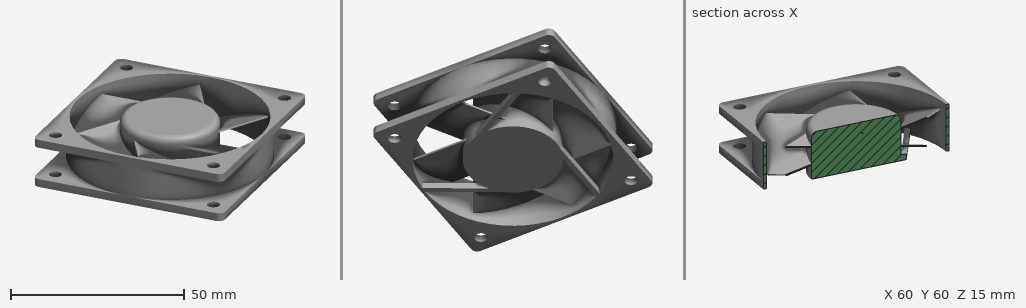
import cadquery as cq
import math

frame_side = 60.0
frame_height = 15.0
flange_thickness = 2.5
corner_radius = 2.0
duct_outer_radius = frame_side / 2
duct_inner_radius = 29.0
mount_hole_diameter = 3.8
mount_hole_pitch = 50.0

hub_radius = 14.5
hub_edge_radius = 2.0

blade_count = 6
blade_tilt = 21.4
blade_thickness = 0.5
blade_plan_width = 23.0
blade_mid_height = frame_height / 2

strut_count = 3
strut_width = 1.6
strut_height = 2.0
strut_offset = 13.4
strut_direction = 30.0

wall_middle_radius = (duct_inner_radius + duct_outer_radius) / 2


def cylinder(radius, height):
    return cq.Workplane("XY").circle(radius).extrude(height)


def make_flange(bottom_height):
    return (
        cq.Workplane("XY")
        .workplane(offset=bottom_height)
        .rect(frame_side, frame_side)
        .extrude(flange_thickness)
        .edges("|Z")
        .fillet(corner_radius)
    )


def make_frame():
    frame = cylinder(duct_outer_radius, frame_height)
    for bottom_height in (0, frame_height - flange_thickness):
        frame = frame.union(make_flange(bottom_height))
    mount_holes = (
        cq.Workplane("XY")
        .rect(mount_hole_pitch, mount_hole_pitch, forConstruction=True)
        .vertices()
        .circle(mount_hole_diameter / 2)
        .extrude(frame_height)
    )
    return frame.cut(cylinder(duct_inner_radius, frame_height)).cut(mount_holes)


def make_hub():
    return cylinder(hub_radius, frame_height).faces(">Z").edges().fillet(hub_edge_radius)


def make_blade():
    """Blade along +X whose -Y edge is the high one."""
    tilt = math.radians(blade_tilt)
    blade_width = (blade_plan_width - blade_thickness * math.sin(tilt)) / math.cos(tilt)
    return (
        cq.Workplane("XY")
        .box(duct_outer_radius, blade_width, blade_thickness, centered=(False, True, True))
        .rotate((0, 0, 0), (1, 0, 0), -blade_tilt)
        .translate((0, 0, blade_mid_height))
    )


def make_strut():
    return (
        cq.Workplane("XY")
        .box(duct_outer_radius, strut_width, strut_height, centered=(False, True, False))
        .translate((0, -strut_offset, 0))
        .rotate((0, 0, 0), (0, 0, 1), strut_direction)
    )


def around_axis(shape, count):
    """Copies of a shape spaced evenly around the Z axis."""
    step = 360 / count
    return [shape.rotate((0, 0, 0), (0, 0, 1), index * step) for index in range(count)]


def make_fan():
    fan = make_frame().union(make_hub())
    duct_core = cylinder(wall_middle_radius, frame_height)
    spokes = around_axis(make_blade(), blade_count) + around_axis(make_strut(), strut_count)
    for spoke in spokes:
        fan = fan.union(spoke.intersect(duct_core))
    return fan


result = make_fan()